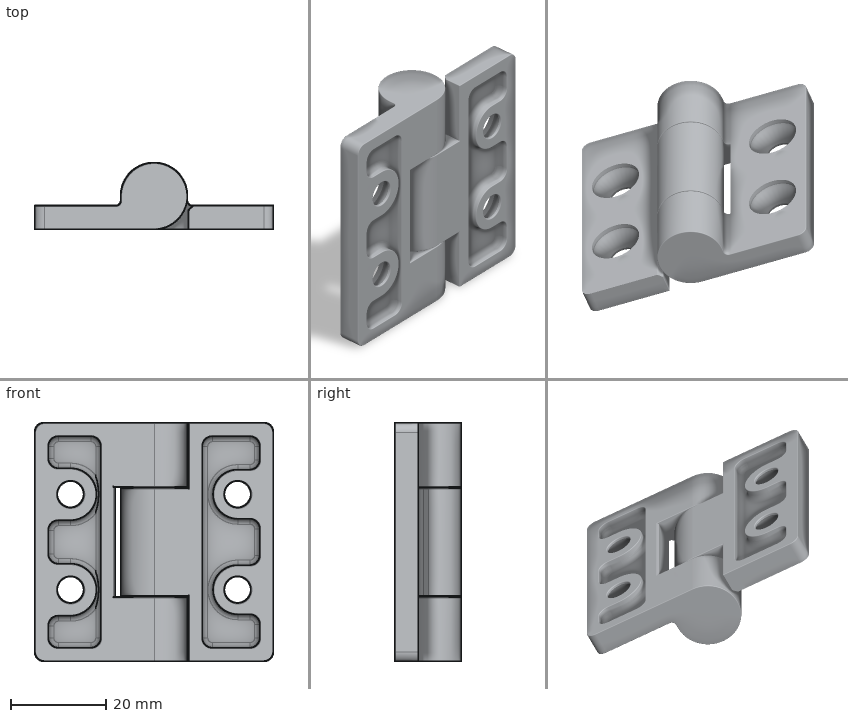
import cadquery as cq
import math

length = 50.0
leaf_width = 25.0
leaf_thickness = 5.0
barrel_radius = 7.0
neck_fillet = 1.0
corner_radius = 2.0
edge_round = 0.15

mount_y = -barrel_radius
back_y = mount_y + leaf_thickness

middle_half_height = 11.3
window_half_height = 11.5
window_edge = 8.1
window_chamfer = 0.4
notch_edge = 7.2
notch_back_chamfer = 1.0

pin_radius = 4.5
pin_end_wall = 2.5

hole_x = 17.5
hole_z = 10.0
hole_diameter = 5.5
hole_round = 0.2
hole_land = 0.35
cone_depth = 3.35
head_diameter = 10.5

pocket_depth = 2.3
pocket_outer = 22.15
pocket_half_height = 22.15
pocket_corner = 2.1
pocket_floor_fillet = 1.1
left_pocket_inner = 11.15
left_boss_radius = 5.45
right_pocket_inner = 10.1
right_boss_radius = 5.15

diagonal = math.sqrt(0.5)


def block(x_range, y_range, z_range):
    """Box that fills the given ranges."""
    size = [high - low for low, high in (x_range, y_range, z_range)]
    return cq.Workplane("XY").box(*size, centered=False).translate((x_range[0], y_range[0], z_range[0]))


def barreled_plate(width, height):
    """Plate on the +X side that runs into a barrel of the same height."""
    neck_x = barrel_radius + neck_fillet
    neck_y = back_y + neck_fillet
    neck_middle = (
        neck_x - neck_fillet * diagonal,
        neck_y - neck_fillet * diagonal,
    )
    return (
        cq.Workplane("XY", origin=(0, 0, -height / 2))
        .moveTo(0, mount_y)
        .lineTo(width, mount_y)
        .lineTo(width, back_y)
        .lineTo(neck_x, back_y)
        .threePointArc(neck_middle, (barrel_radius, neck_y))
        .lineTo(barrel_radius, 0)
        .threePointArc((-barrel_radius * diagonal, barrel_radius * diagonal), (0, mount_y))
        .close()
        .extrude(height)
    )


def pocket_cutter(inner, boss_radius):
    """Pocket with a rounded floor that leaves a round-nosed boss around each screw hole."""
    y_range = (mount_y, mount_y + pocket_depth)
    z_range = (-pocket_half_height, pocket_half_height)
    frame = block((inner, pocket_outer), y_range, z_range)
    frame = frame.edges("|Y").fillet(pocket_corner)
    frame = frame.faces(">Y").edges().fillet(pocket_floor_fillet)

    room = block((0, pocket_outer), y_range, z_range)
    for z in (-hole_z, hole_z):
        boss = block((hole_x, leaf_width), y_range, (z - boss_radius, z + boss_radius))
        nose = cq.Workplane("XZ", origin=(hole_x, mount_y, z)).circle(boss_radius).extrude(-pocket_depth)
        room = room.cut(boss.union(nose))
    room = room.edges("|Y and >X").fillet(pocket_corner)
    room = room.faces(">Y").edges().fillet(pocket_floor_fillet)
    return frame.intersect(room)


def screw_holes():
    """Both holes of a leaf: rounded mouth, short land, cone and straight recess."""
    hole_radius = hole_diameter / 2
    head_radius = head_diameter / 2
    mouth_end = mount_y + hole_round
    cone_start = mouth_end + hole_land
    cone_end = cone_start + cone_depth
    mouth_middle = (
        hole_radius + hole_round * (1 - diagonal),
        mouth_end - hole_round * diagonal,
    )
    hole = (
        cq.Workplane("XY")
        .moveTo(0, mount_y)
        .lineTo(hole_radius + hole_round, mount_y)
        .threePointArc(mouth_middle, (hole_radius, mouth_end))
        .lineTo(hole_radius, cone_start)
        .lineTo(head_radius, cone_end)
        .lineTo(head_radius, back_y)
        .lineTo(0, back_y)
        .close()
        .revolve(360, (0, 0, 0), (0, 1, 0))
    )
    return hole.translate((hole_x, 0, -hole_z)).union(hole.translate((hole_x, 0, hole_z)))


def make_pin():
    """Plain cylinder on the hinge axis."""
    half_pin = length / 2 - pin_end_wall
    return cq.Workplane("XY", origin=(0, 0, -half_pin)).circle(pin_radius).extrude(2 * half_pin)


def make_left_leaf():
    """Leaf with the two end knuckles and a window for the middle one, mirrored to the -X side."""
    leaf = barreled_plate(leaf_width, length).edges("|Y and >X").fillet(corner_radius)
    window = block(
        (-barrel_radius, window_edge),
        (-barrel_radius, barrel_radius),
        (-window_half_height, window_half_height),
    )
    leaf = leaf.cut(window)
    window_front = cq.selectors.NearestToPointSelector((window_edge, mount_y, 0))
    leaf = leaf.edges(window_front).chamfer(window_chamfer)
    leaf = leaf.cut(pocket_cutter(left_pocket_inner, left_boss_radius))
    leaf = leaf.faces("<Y").edges().fillet(edge_round)
    return leaf.cut(screw_holes()).mirror("YZ").cut(make_pin())


def make_right_leaf():
    """Leaf with the middle knuckle between two notches."""
    plate = block((notch_edge, leaf_width), (mount_y, back_y), (-length / 2, length / 2))
    plate = plate.edges("|Y and >X").fillet(corner_radius)
    plate = plate.edges("|Z and <X and >Y").chamfer(notch_back_chamfer)
    plate = plate.cut(pocket_cutter(right_pocket_inner, right_boss_radius))
    plate = plate.faces("<Y or <X").edges().fillet(edge_round)
    overlap_x = (notch_edge + right_pocket_inner) / 2
    knuckle = barreled_plate(overlap_x, 2 * middle_half_height)
    knuckle = knuckle.faces("<Z or >Z").edges().fillet(edge_round)
    leaf = plate.union(knuckle)
    return leaf.cut(screw_holes()).cut(make_pin())


left_leaf = make_left_leaf()
right_leaf = make_right_leaf()
pin = make_pin()

result = cq.Compound.makeCompound([left_leaf.val(), right_leaf.val(), pin.val()])